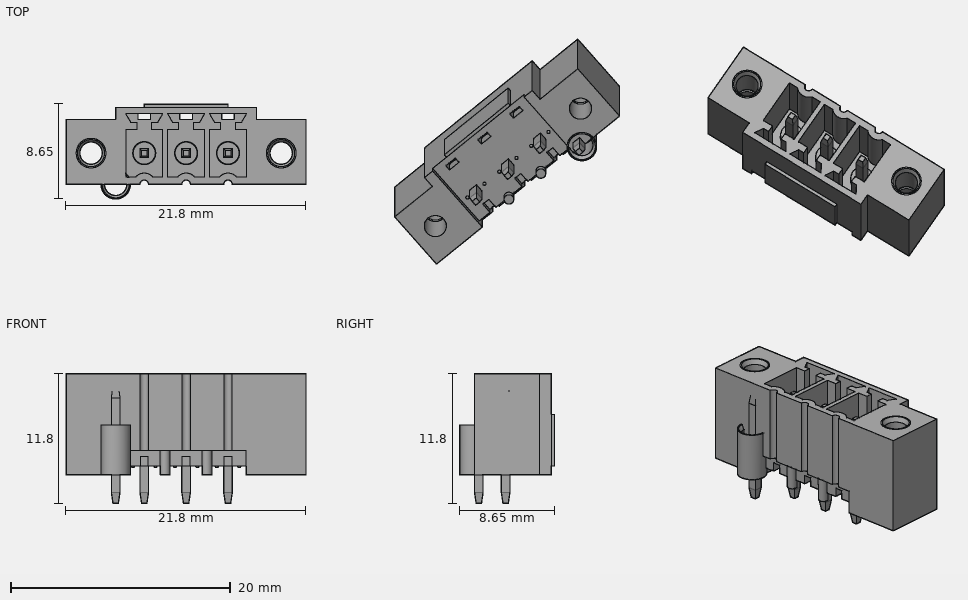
import cadquery as cq
POLE_PITCH = 3.81
POLE_COUNT = 3
POLE_XS = [POLE_PITCH * (i - (POLE_COUNT - 1) / 2) for i in range(POLE_COUNT)]

FLANGE_LENGTH = 21.82
BODY_LENGTH = 12.84
HOUSING_HEIGHT = 9.2
FRONT_Y = -2.84
FLANGE_BACK_Y = 3.06
BODY_BACK_Y = 4.16

RECESS_LENGTH = 10.9
RECESS_HEIGHT = 0.8
STEP_HEIGHT = 2.2
STEP_DEPTH = 0.45
STEP_WALL_Y = FRONT_Y + STEP_DEPTH
SLOT_WIDTH = 0.72
SLOT_TOP_Z = 1.65
SLOT_DEPTH = 1.0
POST_DIAMETER = 0.9
BUMP_DIAMETER = 0.3
BUMP_OFFSET = 1.02

POCKET_FLOOR_Z = 2.6
POCKET_DEPTH = HOUSING_HEIGHT - POCKET_FLOOR_Z
POCKET_HALF_WIDTH = 1.68
POCKET_FRONT_Y = -2.19
POCKET_SHOULDER_Y = 2.16
NECK_HALF_WIDTH = 0.68
DOVETAIL_FRONT_Y = 2.8
DOVETAIL_BACK_Y = 3.58
DOVETAIL_FRONT_HALF_WIDTH = 1.23
WINDOW_WIDTH = 1.12
GROOVE_RADIUS = 0.38
GROOVE_RIB_RADIUS = 1.02
COLLAR_DIAMETER = 2.1
COLLAR_TOP_DIAMETER = 2.01
COLLAR_HEIGHT = 0.6

PIN_WIDTH = 0.8
PIN_BOTTOM_Z = -2.6
PIN_TOP_Z = 8.0
PIN_TIP_LENGTH = 1.0
PIN_TIP_WIDTH = 0.5

INSERT_DIAMETER = 2.7
INSERT_BORE = 2.01
INSERT_LENGTH = 4.54
INSERT_MOUTH = 2.46
MOUTH_DEPTH = 0.45
INSERT_X = 8.65

FRONT_SET_X = -6.41
FRONT_PIN_Y = FRONT_Y + PIN_WIDTH / 2

LABEL_LENGTH = 2 * POLE_PITCH
LABEL_THICKNESS = 0.3
LABEL_BOTTOM_Z = 0.8
LABEL_TOP_Z = 5.5


def block(x_size, y_min, y_max, z_min, z_max, x_center=0.0):
    """Box centred on x_center and spanning the given Y and Z limits."""
    size = (x_size, y_max - y_min, z_max - z_min)
    return cq.Workplane().box(*size, centered=(True, False, False)).translate((x_center, y_min, z_min))


def cylinder(x, y, z_min, z_max, radius):
    """Upright cylinder between two heights."""
    return cq.Workplane().workplane(offset=z_min).center(x, y).circle(radius).extrude(z_max - z_min)


def make_pin(x, y):
    """Square pin with a pyramidal tip at each end."""
    shank_bottom = PIN_BOTTOM_Z + PIN_TIP_LENGTH
    shank_top = PIN_TOP_Z - PIN_TIP_LENGTH
    shank = cq.Workplane().workplane(offset=shank_bottom).rect(PIN_WIDTH, PIN_WIDTH)
    pin = shank.extrude(shank_top - shank_bottom)
    for base_z, step in ((shank_top, PIN_TIP_LENGTH), (shank_bottom, -PIN_TIP_LENGTH)):
        base = cq.Workplane().workplane(offset=base_z).rect(PIN_WIDTH, PIN_WIDTH)
        pin = pin.union(base.workplane(offset=step).rect(PIN_TIP_WIDTH, PIN_TIP_WIDTH).loft())
    return pin.translate((x, y, 0))


def make_insert(x, y, z_min):
    """Round sleeve whose bore widens to a conical mouth at both ends."""
    outer, bore, mouth = INSERT_DIAMETER / 2, INSERT_BORE / 2, INSERT_MOUTH / 2
    profile = (
        cq.Workplane("XZ")
        .moveTo(outer, 0)
        .lineTo(outer, INSERT_LENGTH)
        .lineTo(mouth, INSERT_LENGTH)
        .lineTo(bore, INSERT_LENGTH - MOUTH_DEPTH)
        .lineTo(bore, MOUTH_DEPTH)
        .lineTo(mouth, 0)
        .close()
    )
    return profile.revolve(360, (0, 0, 0), (0, 1, 0)).translate((x, y, z_min))


def make_label():
    """Thin plate on the rear wall."""
    return block(LABEL_LENGTH, BODY_BACK_Y, BODY_BACK_Y + LABEL_THICKNESS, LABEL_BOTTOM_Z, LABEL_TOP_Z)


def pocket(x):
    """Keyed cavity of one pole, with a rib that follows the front groove and a collar on its floor."""
    right_side = [
        (POCKET_HALF_WIDTH, POCKET_FRONT_Y),
        (POCKET_HALF_WIDTH, POCKET_SHOULDER_Y),
        (NECK_HALF_WIDTH, POCKET_SHOULDER_Y),
        (NECK_HALF_WIDTH, DOVETAIL_FRONT_Y),
        (DOVETAIL_FRONT_HALF_WIDTH, DOVETAIL_FRONT_Y),
        (POCKET_HALF_WIDTH, DOVETAIL_BACK_Y),
    ]
    left_side = [(-px, py) for px, py in reversed(right_side)]
    outline = cq.Workplane().workplane(offset=POCKET_FLOOR_Z).polyline(right_side + left_side).close()
    cavity = outline.extrude(POCKET_DEPTH)
    rib = cylinder(0, FRONT_Y, POCKET_FLOOR_Z, HOUSING_HEIGHT, GROOVE_RIB_RADIUS)
    collar_base = cq.Workplane().workplane(offset=POCKET_FLOOR_Z).circle(COLLAR_DIAMETER / 2)
    collar = collar_base.workplane(offset=COLLAR_HEIGHT).circle(COLLAR_TOP_DIAMETER / 2).loft()
    return cavity.cut(rib).cut(collar).translate((x, 0, 0))


def make_housing(embedded_bodies):
    """Flanged housing with openings that match the bodies embedded in it."""
    housing = block(FLANGE_LENGTH, FRONT_Y, FLANGE_BACK_Y, 0, HOUSING_HEIGHT)
    housing = housing.union(block(BODY_LENGTH, FLANGE_BACK_Y, BODY_BACK_Y, 0, HOUSING_HEIGHT))

    housing = housing.cut(block(RECESS_LENGTH, FRONT_Y, BODY_BACK_Y, 0, RECESS_HEIGHT))
    housing = housing.cut(block(RECESS_LENGTH, FRONT_Y, STEP_WALL_Y, 0, STEP_HEIGHT))

    for x in POLE_XS:
        housing = housing.cut(pocket(x))
        housing = housing.cut(block(WINDOW_WIDTH, FLANGE_BACK_Y, DOVETAIL_BACK_Y, 0, HOUSING_HEIGHT, x))
        housing = housing.cut(cylinder(x, FRONT_Y, STEP_HEIGHT, HOUSING_HEIGHT, GROOVE_RADIUS))
        slot_back_y = STEP_WALL_Y + SLOT_DEPTH
        housing = housing.cut(block(SLOT_WIDTH, STEP_WALL_Y, slot_back_y, RECESS_HEIGHT, SLOT_TOP_Z, x))
        for side in (-1, 1):
            bump = cq.Workplane().sphere(BUMP_DIAMETER / 2)
            housing = housing.union(bump.translate((x + side * BUMP_OFFSET, 0, RECESS_HEIGHT)))

    for x in POLE_XS[:-1]:
        post_x = x + POLE_PITCH / 2
        housing = housing.union(cylinder(post_x, STEP_WALL_Y, 0, STEP_HEIGHT, POST_DIAMETER / 2))

    for side in (-1, 1):
        housing = housing.cut(cylinder(side * INSERT_X, 0, 0, HOUSING_HEIGHT, INSERT_BORE / 2))
        seat_z = HOUSING_HEIGHT - INSERT_LENGTH
        housing = housing.cut(cylinder(side * INSERT_X, 0, seat_z, HOUSING_HEIGHT, INSERT_DIAMETER / 2))

    for body in embedded_bodies:
        housing = housing.cut(body)
    return housing


contact_pins = [make_pin(x, 0) for x in POLE_XS]
front_pin = make_pin(FRONT_SET_X, FRONT_PIN_Y)
flange_inserts = [make_insert(side * INSERT_X, 0, HOUSING_HEIGHT - INSERT_LENGTH) for side in (-1, 1)]
front_sleeve = make_insert(FRONT_SET_X, FRONT_Y, 0)
label = make_label()
housing = make_housing(contact_pins + [front_pin, front_sleeve])

bodies = [housing, *contact_pins, front_pin, *flange_inserts, front_sleeve, label]
result = cq.Compound.makeCompound([body.val() for body in bodies])